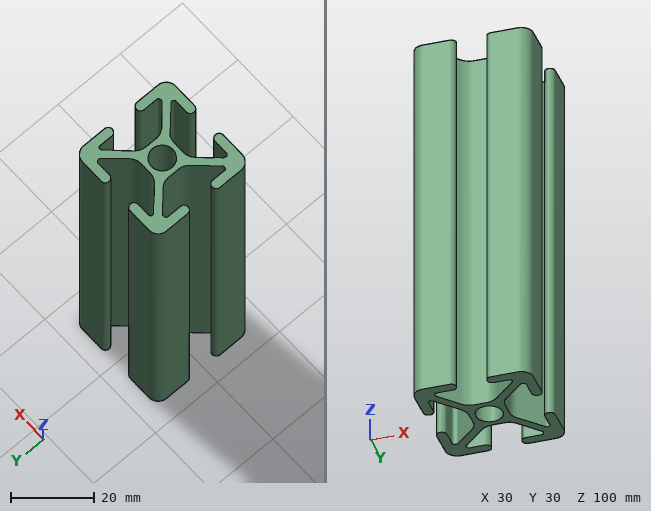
import cadquery as cq

side = 30.0
length = 100.0
corner_radius = 3.0

bore_diameter = 6.8
core_half_width = 4.8

opening_half_width = 3.9
lip_thickness = 2.6
lip_radius = lip_thickness / 2

left_core_corner = -4.0
right_core_corner = 2.6
left_wall = -9.9
right_wall = 9.6
left_spoke_end = -11.2
right_spoke_end = -11.4
core_fillet = 4.0
pocket_fillet = 0.6

half_side = side / 2
lip_inner_y = lip_thickness - half_side
pocket_end_start = (core_half_width + half_side) / 2


def pocket():
    """Hollow between two spokes, on the -Y side."""
    outline = [
        (left_core_corner, -core_half_width),
        (right_core_corner, -core_half_width),
        (right_wall, right_spoke_end),
        (right_wall, lip_inner_y),
        (left_wall, lip_inner_y),
        (left_wall, left_spoke_end),
    ]
    body = cq.Workplane("XY").polyline(outline).close().extrude(length)
    end_zone = cq.selectors.BoxSelector(
        (-half_side, -half_side, 0),
        (half_side, -pocket_end_start, length),
    )
    body = body.edges(end_zone - cq.selectors.StringSyntaxSelector("#Z")).fillet(pocket_fillet)
    return body.edges("|Z and >Y").fillet(core_fillet)


def opening():
    """Gap between the two lips, with each lip tip fully rounded."""
    tip_center_x = opening_half_width + lip_radius
    lip_center_y = lip_radius - half_side
    return (
        cq.Workplane("XY")
        .moveTo(-tip_center_x, -half_side)
        .lineTo(tip_center_x, -half_side)
        .threePointArc((opening_half_width, lip_center_y), (tip_center_x, lip_inner_y))
        .lineTo(-tip_center_x, lip_inner_y)
        .threePointArc((-opening_half_width, lip_center_y), (-tip_center_x, -half_side))
        .close()
        .extrude(length)
    )


bar = cq.Workplane("XY").rect(side, side).extrude(length)
bar = bar.edges("|Z").fillet(corner_radius)
bar = bar.faces(">Z").workplane().hole(bore_diameter)

slot = pocket().union(opening())
for quarter_turn in range(4):
    bar = bar.cut(slot.rotate((0, 0, 0), (0, 0, 1), 90 * quarter_turn))

result = bar